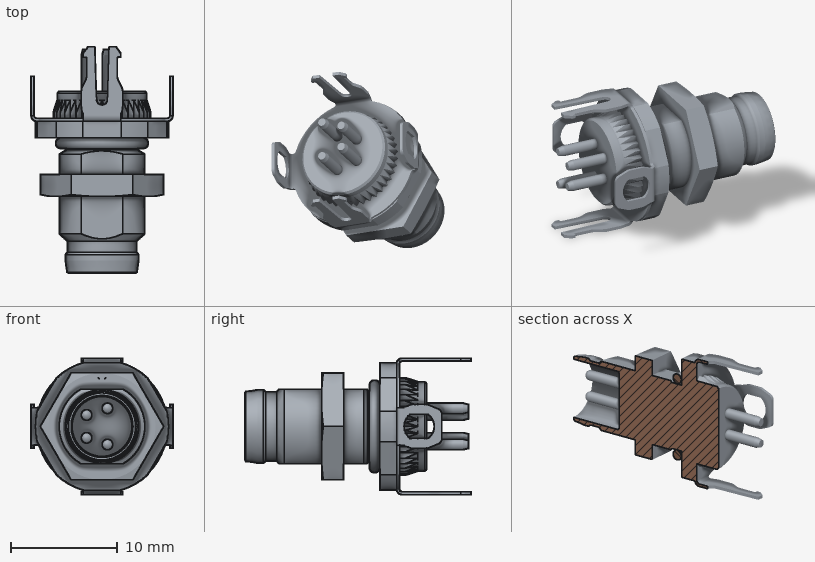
import cadquery as cq
import math


rim_chamfer_end = 0.1
nose_taper_end = 1.2
nose_end = 1.74
groove_front = 1.97
groove_end = 2.99
barrel_front = 3.69
nut_front = 7.19
nut_back = 9.25
barrel_back = 11.15
neck_front = 11.53
flange_front = 12.65
plate_front = 14.2
knurl_taper_start = 15.05
knurl_end = 16.2
collar_end = 17.05
eyelet_end = 18.45
rear_pin_end = 20.95
fork_end = 21.2

barrel_radius = 4.0
barrel_flat_distance = 3.5
neck_radius = 6.7 / 2
nose_groove_radius = 6.5 / 2
nose_radius = 6.9 / 2
nose_tip_radius = 3.29
rim_radius = 3.14
socket_radius = 5.8 / 2
socket_depth = 5.3
socket_floor_chamfer = 0.1

nut_across_flats = 10.0
nut_chamfer_depth = 0.17

flange_radius = 6.23
flange_across_flats = 11.94
ring_section_radius = 1.0 / 2
collar_radius = 8.4 / 2
collar_chamfer = 0.2
knurl_tip_radius = 4.58
knurl_tooth_count = 40

pin_radius = 1.0 / 2
pin_tip = 0.4
rear_pin_chamfer = 0.13
rear_pin_chamfer_length = 0.5
pin_places = [(-1.45, 1.07), (0.5, 1.7), (0.5, -1.7), (-1.45, -1.07)]

sheet = 0.3
plate_radius = 6.15
bend_outer_radius = 0.55
bend_inner_radius = bend_outer_radius - sheet
leg_start = plate_front + bend_outer_radius
leg_root_half_width = 1.75
leg_root_fillet = 0.25
eyelet_face = 13.3 / 2
fork_face = 12.8 / 2

eyelet_half_width = 2.05
eyelet_tip_half_width = 1.5
eyelet_wide_start = 15.6
eyelet_wide_end = 17.09
eyelet_tip_fillet = 0.55
eyelet_side_fillet = 0.85
eyelet_hole_center = 16.32
eyelet_hole_radius = 1.4
eyelet_hole_half_height = 1.12

fork_half_width = 1.95
fork_wide_start = 15.52
fork_wide_end = 17.21
fork_prong_start = 18.23
prong_half_width = 1.45
barb_start = 20.22
barb_end = 20.59
barb_half_width = 1.75
barb_tip_half_width = 1.31
barb_fillet = 0.1
fork_shoulder_fillet = 0.98
slot_bottom = 15.75
slot_bottom_radius = 0.5
slot_mouth_half_width = 0.65


def revolve_about_axis(points):
    """Solid of revolution about Y from (radius, Y) points."""
    return cq.Workplane("XY").polyline(points).close().revolve(360, (0, 0), (0, 1))


def cylinder_along_axis(radius, start, end):
    """Round bar on the Y axis from start to end."""
    return extrude_along_axis(cq.Workplane("XZ").circle(radius), start, end)


def extrude_along_axis(outline, start, end):
    """Extrude an outline drawn on the XZ plane so that it spans start to end along Y."""
    return outline.extrude(-(end - start)).translate((0, start, 0))


def hexagon_prism(across_flats, start, end):
    """Hexagonal bar with flats facing +Z and -Z."""
    corner_diameter = across_flats / math.cos(math.radians(30))
    return extrude_along_axis(cq.Workplane("XZ").polygon(6, corner_diameter), start, end)


def make_barrel():
    """Nose, threaded barrel with two flats, and neck up to the flange."""
    barrel = revolve_about_axis([
        (0, 0),
        (rim_radius, 0),
        (nose_tip_radius, rim_chamfer_end),
        (nose_radius, nose_taper_end),
        (nose_radius, nose_end),
        (nose_groove_radius, groove_front),
        (nose_groove_radius, groove_end),
        (barrel_radius, barrel_front),
        (barrel_radius, barrel_back),
        (neck_radius, neck_front),
        (neck_radius, flange_front),
        (0, flange_front),
    ])
    flats = cq.Workplane("XY").box(
        2 * barrel_radius, flange_front, 2 * barrel_flat_distance, centered=(True, False, True)
    )
    return barrel.intersect(flats)


def make_nut():
    """Hexagonal collar around the barrel with a shallow front chamfer."""
    flat_radius = nut_across_flats / 2
    corner_radius = flat_radius / math.cos(math.radians(30))
    chamfer_limit = revolve_about_axis([
        (0, nut_front),
        (flat_radius, nut_front),
        (corner_radius, nut_front + nut_chamfer_depth),
        (corner_radius, nut_back),
        (0, nut_back),
    ])
    return hexagon_prism(nut_across_flats, nut_front, nut_back).intersect(chamfer_limit)


def make_socket():
    """Cavity of the mating end, with a chamfered floor edge."""
    return revolve_about_axis([
        (0, 0),
        (socket_radius, 0),
        (socket_radius, socket_depth - socket_floor_chamfer),
        (socket_radius - socket_floor_chamfer, socket_depth),
        (0, socket_depth),
    ])


def make_sealing_ring():
    """Round-section ring that touches the neck and the front of the flange."""
    center_radius = neck_radius + ring_section_radius
    center_y = flange_front - ring_section_radius
    return (
        cq.Workplane("XY")
        .center(-center_radius, center_y)
        .circle(ring_section_radius)
        .revolve(360, (center_radius, 0), (center_radius, 1))
    )


def make_flange():
    """Disc trimmed by six flats."""
    disc = cylinder_along_axis(flange_radius, flange_front, plate_front)
    return disc.intersect(hexagon_prism(flange_across_flats, flange_front, plate_front))


def make_collar():
    """Plain collar with a ring of sharp teeth that fade out along a cone."""
    collar = revolve_about_axis([
        (0, plate_front),
        (collar_radius, plate_front),
        (collar_radius, collar_end - collar_chamfer),
        (collar_radius - collar_chamfer, collar_end),
        (0, collar_end),
    ])
    half_pitch = math.pi / knurl_tooth_count
    star_points = []
    for step in range(2 * knurl_tooth_count):
        radius = knurl_tip_radius if step % 2 else collar_radius
        angle = step * half_pitch
        star_points.append((radius * math.cos(angle), radius * math.sin(angle)))
    teeth = extrude_along_axis(cq.Workplane("XZ").polyline(star_points).close(), plate_front, knurl_end)
    taper = revolve_about_axis([
        (0, plate_front),
        (knurl_tip_radius, plate_front),
        (knurl_tip_radius, knurl_taper_start),
        (collar_radius, knurl_end),
        (0, knurl_end),
    ])
    return collar.union(teeth.intersect(taper))


def make_pin(x, z):
    """Contact pin with a round mating tip and a chamfered solder end."""
    dome_corner = pin_radius * math.sqrt(0.5)
    pin = (
        cq.Workplane("XY")
        .moveTo(0, pin_tip)
        .threePointArc(
            (dome_corner, pin_tip + pin_radius - dome_corner),
            (pin_radius, pin_tip + pin_radius),
        )
        .lineTo(pin_radius, rear_pin_end - rear_pin_chamfer_length)
        .lineTo(pin_radius - rear_pin_chamfer, rear_pin_end)
        .lineTo(0, rear_pin_end)
        .close()
        .revolve(360, (0, 0), (0, 1))
    )
    return pin.translate((x, 0, z))


def arm_bar(half_length_x, half_length_z):
    """Rectangular bar of sheet thickness, centered on the axis in the plane of the plate."""
    outline = cq.Workplane("XZ").rect(2 * half_length_x, 2 * half_length_z)
    return extrude_along_axis(outline, plate_front, plate_front + sheet)


def fillet_leg_roots(plate):
    """Round the inner corners between the disc edge and the arms."""
    corner_offset = math.sqrt(plate_radius ** 2 - leg_root_half_width ** 2)
    reach = 0.02
    for first, second in ((corner_offset, leg_root_half_width), (leg_root_half_width, corner_offset)):
        for x in (first, -first):
            for z in (second, -second):
                corner = cq.selectors.BoxSelector(
                    (x - reach, plate_front - sheet, z - reach),
                    (x + reach, plate_front + 2 * sheet, z + reach),
                )
                plate = plate.edges(corner).fillet(leg_root_fillet)
    return plate


def make_shield_plate():
    """Round plate with four arms that end where the leg bends start."""
    eyelet_reach = eyelet_face - bend_outer_radius
    fork_reach = fork_face - bend_outer_radius
    disc = cylinder_along_axis(plate_radius, plate_front, plate_front + sheet)
    long_eyelet_arms = arm_bar(eyelet_face, leg_root_half_width)
    long_fork_arms = arm_bar(leg_root_half_width, fork_face)
    plate = fillet_leg_roots(disc.union(long_eyelet_arms).union(long_fork_arms))
    eyelet_ends = long_eyelet_arms.cut(arm_bar(eyelet_reach, leg_root_half_width))
    fork_ends = long_fork_arms.cut(arm_bar(leg_root_half_width, fork_reach))
    return plate.cut(eyelet_ends).cut(fork_ends)


def make_bend(face):
    """Quarter-round bend at the +Z side, ending at the given outer face."""
    center_z = face - bend_outer_radius
    outer_diagonal = bend_outer_radius * math.sqrt(0.5)
    inner_diagonal = bend_inner_radius * math.sqrt(0.5)
    return (
        cq.Workplane("YZ")
        .moveTo(plate_front, center_z)
        .threePointArc(
            (leg_start - outer_diagonal, center_z + outer_diagonal),
            (leg_start, face),
        )
        .lineTo(leg_start, face - sheet)
        .threePointArc(
            (leg_start - inner_diagonal, center_z + inner_diagonal),
            (plate_front + sheet, center_z),
        )
        .close()
        .extrude(leg_root_half_width, both=True)
    )


def mirrored_outline(right_side):
    """Closed outline from (X, Y) points on its +X side and their mirror images."""
    left_side = [(-x, y) for x, y in reversed(right_side)]
    return cq.Workplane("XY").polyline(right_side + left_side).close()


def edges_at(half_width, y):
    """Selector for the upright edges at (+half_width, y) and (-half_width, y)."""
    reach = 0.01
    return cq.selectors.SumSelector(*[
        cq.selectors.BoxSelector(
            (x - reach, y - reach, -sheet),
            (x + reach, y + reach, 2 * sheet),
        )
        for x in (half_width, -half_width)
    ])


def make_eyelet_blade():
    """Flat part of an eyelet leg, lying on the XY plane."""
    blade = mirrored_outline([
        (leg_root_half_width, leg_start),
        (eyelet_half_width, eyelet_wide_start),
        (eyelet_half_width, eyelet_wide_end),
        (eyelet_tip_half_width, eyelet_end),
    ]).extrude(sheet)
    blade = blade.edges(edges_at(eyelet_half_width, eyelet_wide_start)).fillet(eyelet_side_fillet)
    blade = blade.edges(edges_at(eyelet_half_width, eyelet_wide_end)).fillet(eyelet_side_fillet)
    blade = blade.edges(edges_at(eyelet_tip_half_width, eyelet_end)).fillet(eyelet_tip_fillet)
    round_hole = cq.Workplane("XY").circle(eyelet_hole_radius).extrude(sheet)
    hole_limit = (
        cq.Workplane("XY")
        .rect(2 * eyelet_hole_half_height, 2 * eyelet_hole_radius)
        .extrude(sheet)
    )
    return blade.cut(round_hole.intersect(hole_limit).translate((0, eyelet_hole_center, 0)))


def make_fork_blade():
    """Flat part of a fork leg, two barbed prongs, lying on the XY plane."""
    blade = mirrored_outline([
        (leg_root_half_width, leg_start),
        (fork_half_width, fork_wide_start),
        (fork_half_width, fork_wide_end),
        (prong_half_width, fork_prong_start),
        (prong_half_width, barb_start),
        (barb_half_width, barb_start),
        (barb_half_width, barb_end),
        (barb_tip_half_width, fork_end),
    ]).extrude(sheet)
    blade = blade.edges(edges_at(fork_half_width, fork_wide_end)).fillet(fork_shoulder_fillet)
    blade = blade.edges(edges_at(prong_half_width, fork_prong_start)).fillet(fork_shoulder_fillet)
    blade = blade.edges(edges_at(prong_half_width, barb_start)).fillet(barb_fillet)
    blade = blade.edges(edges_at(barb_half_width, barb_end)).fillet(barb_fillet)
    slot_arc_end = slot_bottom + slot_bottom_radius
    slot = (
        cq.Workplane("XY")
        .moveTo(slot_mouth_half_width, fork_end)
        .lineTo(slot_bottom_radius, slot_arc_end)
        .threePointArc((0, slot_bottom), (-slot_bottom_radius, slot_arc_end))
        .lineTo(-slot_mouth_half_width, fork_end)
        .close()
        .extrude(sheet)
    )
    return blade.cut(slot)


def make_leg(blade, face):
    """Bend and blade of one leg at the +Z side."""
    return make_bend(face).union(blade.translate((0, 0, face - sheet)))


def make_shield():
    """Plate with two eyelet legs on the X sides and two fork legs on the Z sides."""
    shield = make_shield_plate()
    eyelet_leg = make_leg(make_eyelet_blade(), eyelet_face)
    fork_leg = make_leg(make_fork_blade(), fork_face)
    for leg, angles in ((fork_leg, (0, 180)), (eyelet_leg, (90, 270))):
        for angle in angles:
            shield = shield.union(leg.rotate((0, 0, 0), (0, 1, 0), angle))
    return shield


def make_connector():
    """Whole plug: barrel, nut, flange, shield, collar and pins in one solid."""
    connector = make_barrel().union(make_nut()).union(make_flange()).cut(make_socket())
    connector = connector.union(make_shield()).union(make_collar())
    for x, z in pin_places:
        connector = connector.union(make_pin(x, z))
    return connector


connector = make_connector()
sealing_ring = make_sealing_ring()

result = cq.Compound.makeCompound([connector.val(), sealing_ring.val()])